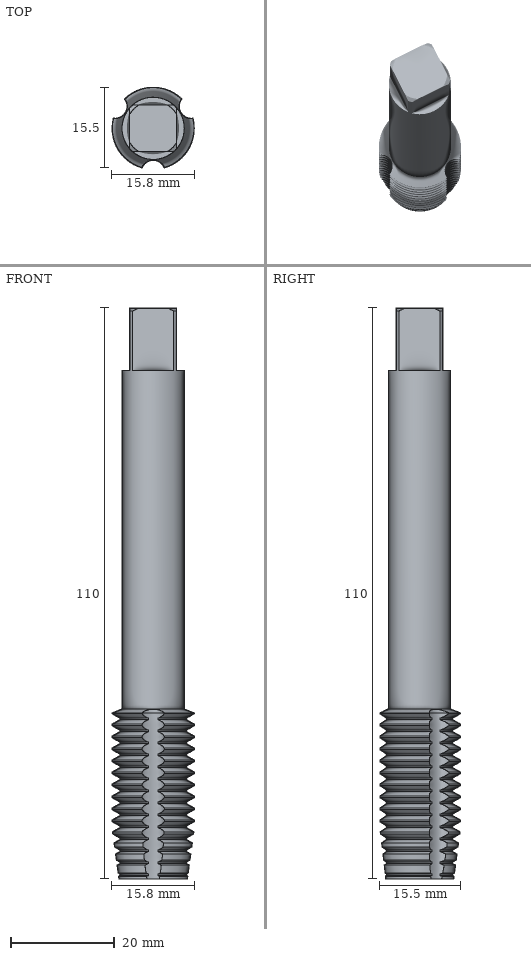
import cadquery as cq
import math

total_length = 110
shank_diameter = 12.0
shank_radius = shank_diameter / 2

square_length = shank_diameter
square_side = 9.0
square_tip_chamfer_height = 0.5
square_tip_radius = 5.3

thread_radius = 7.9
thread_pitch = 2.3
crest_flat = thread_pitch / 8
root_flat = crest_flat
flank_angle = math.radians(30)
flank_height = (thread_pitch - crest_flat - root_flat) / 2
root_radius = thread_radius - flank_height / math.tan(flank_angle)
top_crest_z = 32.0
ridge_count = 15

tip_radius = 6.6
taper_length = 9.7

neck_height = 0.8

flute_count = 3
flute_radius = 2.3
flute_floor_radius = 6.2
flute_center_radius = flute_floor_radius + flute_radius
first_flute_angle = -90


def revolved(points):
    """Solid of revolution about Z from (radius, z) points."""
    return cq.Workplane("XZ").polyline(points).close().revolve(360, (0, 0, 0), (0, 1, 0))


def make_flutes():
    """Round-bottomed cutters for the flutes, longer than the fluted length."""
    return (
        cq.Workplane("XY")
        .polarArray(flute_center_radius, first_flute_angle, 360, flute_count)
        .circle(flute_radius)
        .extrude(top_crest_z + 2 * neck_height)
    )


def make_shank():
    """Shank with the driving square on top and the fluted neck cone below."""
    square_base_z = total_length - square_length
    neck_top_z = top_crest_z + neck_height

    neck = revolved([
        (0, top_crest_z),
        (thread_radius, top_crest_z),
        (shank_radius, neck_top_z),
        (0, neck_top_z),
    ]).cut(make_flutes())

    bar = (
        cq.Workplane("XY")
        .workplane(offset=neck_top_z)
        .circle(shank_radius)
        .extrude(square_base_z - neck_top_z)
    )

    bar_end = revolved([
        (0, square_base_z),
        (shank_radius, square_base_z),
        (shank_radius, total_length - square_tip_chamfer_height),
        (square_tip_radius, total_length),
        (0, total_length),
    ])
    square = (
        cq.Workplane("XY")
        .workplane(offset=square_base_z)
        .rect(square_side, square_side)
        .extrude(square_length)
        .intersect(bar_end)
    )
    return bar.union(square).union(neck)


def make_thread():
    """Fluted cutting section with ridges truncated by the lead taper."""
    half_crest = crest_flat / 2
    half_base = half_crest + flank_height
    bottom_z = top_crest_z - ridge_count * thread_pitch
    profile = [(0, top_crest_z), (thread_radius, top_crest_z)]
    for ridge in range(ridge_count):
        crest_z = top_crest_z - ridge * thread_pitch
        if ridge > 0:
            profile.append((root_radius, crest_z + half_base))
            profile.append((thread_radius, crest_z + half_crest))
        profile.append((thread_radius, crest_z - half_crest))
        profile.append((root_radius, crest_z - half_base))
    profile.append((root_radius, bottom_z))
    profile.append((0, bottom_z))

    lead_envelope = revolved([
        (0, 0),
        (tip_radius, 0),
        (thread_radius, taper_length),
        (thread_radius, top_crest_z),
        (0, top_crest_z),
    ])
    return revolved(profile).intersect(lead_envelope).cut(make_flutes())


shank = make_shank()
thread = make_thread()

result = cq.Compound.makeCompound([shank.val(), thread.val()])